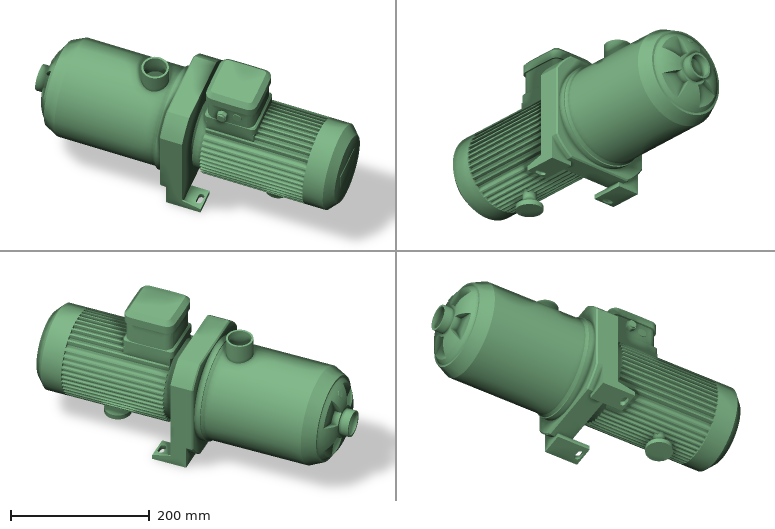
import cadquery as cq
import math


cover_face_x = 14.3
pocket_floor_x = 25.0
sleeve_front_x = 30.7
sleeve_shoulder_x = 50.7
sleeve_back_x = 201.4
ring_front_x = 206.4
flange_front_x = 215.7
bracket_front_x = 226.2
bracket_back_x = 250.7
bracket_foot_end_x = 279.2
motor_disc_x = 257.4
motor_body_x = 270.7
fan_cover_x = 429.2
fan_cover_cone_x = 460.7
fan_cover_back_x = 473.5
overall_length = 474.2

pipe_diameter = 39.7
pipe_bore_diameter = 33.7
inlet_bore_depth = cover_face_x
discharge_x = 177.5
discharge_top_z = 102.8
discharge_bore_depth = 30.0

cover_hub_radius = 24.5
cover_rim_radius = 61.5
pocket_count = 4
pocket_angle = 45.0
vent_diameter = 10.0
vent_radial_position = 48.6
vent_height = 0.8

sleeve_radius = 149 / 2
sleeve_front_radius = 130 / 2

plate_width = 166.0
plate_corner_radius = 99.2
flange_edge_chamfer = 2.0
ring_radius = 156.5 / 2
ring_cone_radius = 76.5
ground_z = -90.0
foot_inner_y = 46.4
foot_top_z = -75.6
foot_end_z = -82.8
foot_rib_thickness = 2.3
foot_slot_x = 271.7
foot_slot_width = 9.0
foot_slot_outer_y = 73.5
foot_slot_inner_y = 56.0

neck_radius = 91 / 2
motor_core_radius = 120 / 2
fin_tip_radius = 130 / 2
fin_pitch = 8.1
fin_thickness = 2.0
fins_each_side = 5
fan_cover_end_radius = 51.5
end_plate_width = 55.7
end_plate_height = 24.5
end_plate_z = 3.5

box_x = 306.1
seat_end_x = 343.5
box_base_length = 79.0
box_base_width = 74.0
box_base_corner_radius = 6.0
box_base_bottom_z = 62.8
box_base_chamfer = 2.4
box_wall_bottom_z = 77.1
box_wall_width = 71.5
box_corner_radius = 9.4
box_side_bulge = 0.8
lid_bottom_z = 108.6
lid_overhang = 2.8
lid_chamfer = 7.1
overall_top_z = 128.5
cable_entry_z = 92.8
blank_plug_x = 317.7
blank_plug_diameter = 13.5
blank_plug_height = 1.0

gland_x = 296.4
gland_end_diameter = 12.0
gland_nut_width = 14.0
gland_nut_corner_diameter = 15.4
gland_neck_length = 1.2
gland_nut_length = 6.5
gland_end_length = 2.8

foot_x = 367.7
foot_stem_diameter = 20.0
foot_stem_top_z = -58.0
foot_stem_bottom_z = -77.2
foot_pad_diameter = 40.0
foot_pad_top_diameter = 26.0
foot_pad_cone_bottom_z = -82.8


def turned(profile):
    """Revolve a closed XY half-section (Y is the radius) about the shaft axis."""
    return profile.close().revolve(360, (0, 0, 0), (1, 0, 0))


def axial_disc(radius, x_start, x_end):
    return cq.Workplane("YZ", origin=(x_start, 0, 0)).circle(radius).extrude(x_end - x_start)


def block(x_range, y_range, z_range):
    """Axis-aligned block between three (low, high) pairs."""
    sides = [high - low for low, high in (x_range, y_range, z_range)]
    return cq.Workplane("XY").box(*sides, centered=False).translate((x_range[0], y_range[0], z_range[0]))


def make_front_cover():
    dome_rise = sleeve_front_x - cover_face_x
    dome_reach = cover_rim_radius - cover_hub_radius
    dome_radius = (dome_rise**2 + dome_reach**2) / (2 * dome_rise)
    half_angle = math.asin(dome_reach / dome_radius) / 2
    dome_middle = (
        cover_face_x + dome_radius * (1 - math.cos(half_angle)),
        cover_hub_radius + dome_radius * math.sin(half_angle),
    )
    cover = turned(
        cq.Workplane("XY")
        .moveTo(cover_face_x, 0)
        .lineTo(cover_face_x, cover_hub_radius)
        .threePointArc(dome_middle, (sleeve_front_x, cover_rim_radius))
        .lineTo(sleeve_front_x, 0)
    )
    pocket = turned(
        cq.Workplane("XY")
        .moveTo(0, cover_hub_radius)
        .lineTo(0, cover_rim_radius)
        .lineTo(pocket_floor_x, cover_rim_radius)
        .lineTo(pocket_floor_x, cover_hub_radius)
    )
    wedge_reach = 2 * cover_rim_radius
    wedge_half_width = wedge_reach * math.tan(math.radians(pocket_angle / 2))
    wedge = (
        cq.Workplane("YZ")
        .polyline([(0, 0), (wedge_reach, -wedge_half_width), (wedge_reach, wedge_half_width)])
        .close()
        .extrude(pocket_floor_x)
    )
    sector = pocket.intersect(wedge)
    pocket_step = 360 / pocket_count
    for i in range(pocket_count):
        cover = cover.cut(sector.rotate((0, 0, 0), (1, 0, 0), (i + 0.5) * pocket_step))
    vent_tilt = math.asin((vent_radial_position - cover_hub_radius) / dome_radius)
    dome_centre = (cover_face_x + dome_radius, 0, cover_hub_radius)
    vent = (
        cq.Workplane(cq.Plane(dome_centre, (0, 1, 0), (-math.cos(vent_tilt), 0, math.sin(vent_tilt))))
        .workplane(offset=dome_radius + vent_height)
        .circle(vent_diameter / 2)
        .extrude(-vent_diameter / 2)
    )
    inlet = axial_disc(pipe_diameter / 2, 0, sleeve_front_x)
    bore = axial_disc(pipe_bore_diameter / 2, 0, inlet_bore_depth)
    return cover.union(vent).union(inlet).cut(bore)


def make_sleeve():
    barrel = turned(
        cq.Workplane("XY")
        .moveTo(sleeve_front_x, 0)
        .lineTo(sleeve_front_x, sleeve_front_radius)
        .lineTo(sleeve_shoulder_x, sleeve_radius)
        .lineTo(sleeve_back_x, sleeve_radius)
        .lineTo(sleeve_back_x, 0)
    )
    pipe_mouth = cq.Workplane("XY", origin=(discharge_x, 0, discharge_top_z))
    pipe = pipe_mouth.circle(pipe_diameter / 2).extrude(-discharge_top_z)
    bore = pipe_mouth.circle(pipe_bore_diameter / 2).extrude(-discharge_bore_depth)
    return barrel.union(pipe).cut(bore)


def corner_trimmed_plate(x_start, x_end):
    half = plate_width / 2
    square = block((x_start, x_end), (-half, half), (-half, half))
    return square.intersect(axial_disc(plate_corner_radius, x_start, x_end))


def make_flange():
    plate = corner_trimmed_plate(flange_front_x, bracket_front_x).faces("<X").chamfer(flange_edge_chamfer)
    spigot = turned(
        cq.Workplane("XY")
        .moveTo(sleeve_back_x, 0)
        .lineTo(sleeve_back_x, sleeve_radius)
        .lineTo(ring_front_x, ring_cone_radius)
        .lineTo(ring_front_x, ring_radius)
        .lineTo(flange_front_x, ring_radius)
        .lineTo(flange_front_x, 0)
    )
    return plate.union(spigot)


def make_bracket_foot():
    half = plate_width / 2
    depth = (bracket_front_x, bracket_back_x)
    leg = block(depth, (foot_inner_y, half), (ground_z, 0))
    toe = block((bracket_front_x, bracket_foot_end_x), (foot_inner_y, half), (ground_z, foot_end_z))
    rib = (
        cq.Workplane("XZ", origin=(0, half, 0))
        .moveTo(bracket_back_x, ground_z)
        .lineTo(bracket_back_x, foot_top_z)
        .lineTo(bracket_foot_end_x, foot_end_z)
        .lineTo(bracket_foot_end_x, ground_z)
        .close()
        .extrude(foot_rib_thickness)
    )
    slot = (
        cq.Workplane("XY", origin=(foot_slot_x, (foot_slot_inner_y + foot_slot_outer_y) / 2, ground_z))
        .slot2D(foot_slot_outer_y - foot_slot_inner_y, foot_slot_width, 90)
        .extrude(foot_end_z - ground_z)
    )
    return leg.union(toe).union(rib).cut(slot)


def make_bracket():
    foot = make_bracket_foot()
    plate = corner_trimmed_plate(bracket_front_x, bracket_back_x)
    return plate.union(foot).union(foot.mirror("XZ"))


def bulged_square(width, z):
    """Square outline with slightly bowed sides, on a plane at height z."""
    h = width / 2
    bow = h + box_side_bulge
    return (
        cq.Workplane("XY", origin=(box_x, 0, z))
        .moveTo(-h, -h)
        .threePointArc((0, -bow), (h, -h))
        .threePointArc((bow, 0), (h, h))
        .threePointArc((0, bow), (-h, h))
        .threePointArc((-bow, 0), (-h, -h))
        .close()
    )


def make_box_base():
    height = box_wall_bottom_z - box_base_bottom_z
    return (
        cq.Workplane("XY", origin=(box_x, 0, box_base_bottom_z))
        .rect(box_base_length, box_base_width)
        .extrude(height)
        .edges("|Z")
        .fillet(box_base_corner_radius)
        .faces(">Z")
        .chamfer(box_base_chamfer)
    )


def make_terminal_box():
    walls = (
        bulged_square(box_wall_width, box_base_bottom_z)
        .extrude(lid_bottom_z - box_base_bottom_z)
        .edges("|Z")
        .fillet(box_corner_radius)
    )
    blank_plug_face_y = -box_wall_width / 2 - box_side_bulge - blank_plug_height
    blank_plug = (
        cq.Workplane("XZ", origin=(blank_plug_x, blank_plug_face_y, cable_entry_z))
        .circle(blank_plug_diameter / 2)
        .extrude(blank_plug_face_y)
    )
    return make_box_base().union(walls).union(blank_plug)


def make_lid():
    return (
        bulged_square(box_wall_width + 2 * lid_overhang, lid_bottom_z)
        .extrude(overall_top_z - lid_bottom_z)
        .edges("|Z")
        .fillet(box_corner_radius + lid_overhang)
        .faces(">Z")
        .chamfer(lid_chamfer)
    )


def make_gland(box):
    entry_y = -box_wall_width / 2

    def entry_disc(diameter, y_start, length):
        return (
            cq.Workplane("XZ", origin=(gland_x, y_start, cable_entry_z)).circle(diameter / 2).extrude(length)
        )

    nut_y = entry_y - box_side_bulge - gland_neck_length
    nut = (
        cq.Workplane("XZ", origin=(gland_x, nut_y, cable_entry_z))
        .transformed(rotate=(0, 0, 90))
        .polygon(6, gland_nut_width / math.cos(math.pi / 6))
        .extrude(gland_nut_length)
        .intersect(entry_disc(gland_nut_corner_diameter, nut_y, gland_nut_length))
    )
    neck = entry_disc(gland_end_diameter, entry_y, entry_y - nut_y)
    end = entry_disc(gland_end_diameter, nut_y, gland_nut_length + gland_end_length)
    return nut.union(neck).union(end).cut(box)


def make_motor_foot():
    stem_radius = foot_stem_diameter / 2
    pad_radius = foot_pad_diameter / 2
    return (
        cq.Workplane("XZ", origin=(foot_x, 0, 0))
        .moveTo(0, foot_stem_top_z)
        .lineTo(stem_radius, foot_stem_top_z)
        .lineTo(stem_radius, foot_stem_bottom_z)
        .lineTo(foot_pad_top_diameter / 2, foot_stem_bottom_z)
        .lineTo(pad_radius, foot_pad_cone_bottom_z)
        .lineTo(pad_radius, ground_z)
        .lineTo(0, ground_z)
        .close()
        .revolve(360, (0, 0, 0), (0, 1, 0))
    )


def make_motor(box, foot):
    neck = axial_disc(neck_radius, bracket_back_x, motor_disc_x)
    core = axial_disc(motor_core_radius, motor_disc_x, fan_cover_x)
    fin_span = (-fin_tip_radius, fin_tip_radius)
    body_length = (motor_body_x, fan_cover_x)
    fins = cq.Workplane("XY")
    for i in range(-fins_each_side, fins_each_side + 1):
        fin_faces = (i * fin_pitch - fin_thickness / 2, i * fin_pitch + fin_thickness / 2)
        fins = fins.union(block(body_length, fin_span, fin_faces))
        fins = fins.union(block(body_length, fin_faces, fin_span))
    fins = fins.intersect(axial_disc(fin_tip_radius, motor_body_x, fan_cover_x))
    half_seat = box_base_width / 2
    seat = block((motor_body_x, seat_end_x), (-half_seat, half_seat), (0, box_base_bottom_z))
    return core.union(neck).union(fins).union(seat).cut(box).cut(foot)


def make_fan_cover():
    drum = turned(
        cq.Workplane("XY")
        .moveTo(fan_cover_x, 0)
        .lineTo(fan_cover_x, fin_tip_radius)
        .lineTo(fan_cover_cone_x, fin_tip_radius)
        .lineTo(fan_cover_back_x, fan_cover_end_radius)
        .lineTo(fan_cover_back_x, 0)
    )
    end_plate = (
        cq.Workplane("YZ", origin=(fan_cover_back_x, 0, end_plate_z))
        .rect(end_plate_width, end_plate_height)
        .extrude(overall_length - fan_cover_back_x)
    )
    return drum.union(end_plate)


front_cover = make_front_cover()
sleeve = make_sleeve()
flange = make_flange()
bracket = make_bracket()
terminal_box = make_terminal_box()
lid = make_lid()
gland = make_gland(terminal_box)
motor_foot = make_motor_foot()
motor = make_motor(terminal_box, motor_foot)
fan_cover = make_fan_cover()

bodies = [
    front_cover,
    sleeve,
    flange,
    bracket,
    motor,
    fan_cover,
    terminal_box,
    lid,
    gland,
    motor_foot,
]
result = cq.Compound.makeCompound([body.val() for body in bodies])